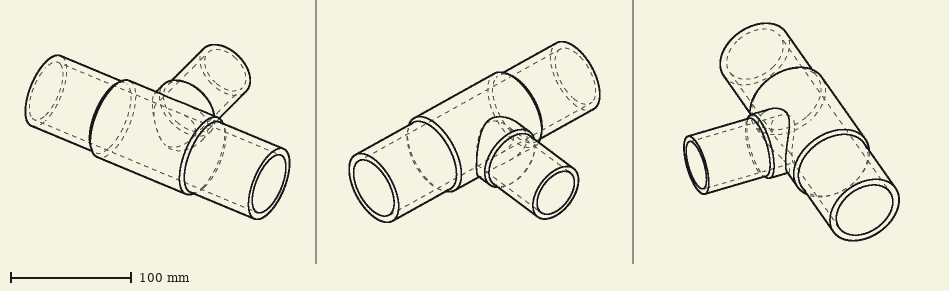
import cadquery as cq

run_length = 220.0
run_diameter = 63.0
run_wall = 5.8
run_bore = run_diameter - 2 * run_wall

sleeve_diameter = 68.8
sleeve_length = 93.5
sleeve_chamfer = (sleeve_diameter - run_diameter) / 2

branch_reach = 103.0
branch_diameter = 50.0
branch_wall = 4.6
branch_bore = branch_diameter - 2 * branch_wall
collar_diameter = 55.0
collar_reach = 47.3
collar_chamfer = (collar_diameter - branch_diameter) / 2


def run_cylinder(diameter, length):
    """Cylinder along X, centred on the origin."""
    return cq.Workplane("YZ").circle(diameter / 2).extrude(length / 2, both=True)


def branch_cylinder(diameter, reach):
    """Cylinder from the run axis out to the given +Y reach."""
    return cq.Workplane("XZ").circle(diameter / 2).extrude(-reach)


def run_body():
    pipe = run_cylinder(run_diameter, run_length)
    sleeve = run_cylinder(sleeve_diameter, sleeve_length)
    sleeve = sleeve.faces("<X or >X").chamfer(sleeve_chamfer)
    return pipe.union(sleeve)


def branch_body():
    pipe = branch_cylinder(branch_diameter, branch_reach)
    collar = branch_cylinder(collar_diameter, collar_reach)
    collar = collar.faces(">Y").chamfer(collar_chamfer)
    return pipe.union(collar)


result = (
    run_body()
    .union(branch_body())
    .cut(run_cylinder(run_bore, run_length))
    .cut(branch_cylinder(branch_bore, branch_reach))
)